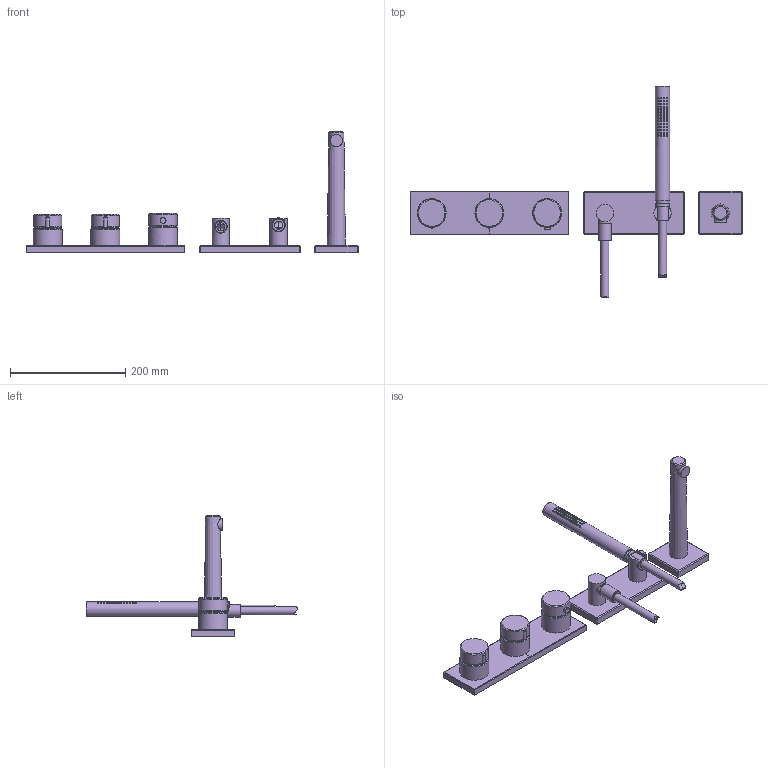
import cadquery as cq

plate_depth = 75.0
plate_gap = 25.0
plate_height = 13.0
plate_bevel = 1.5
control_bevel = 1.0
end_margin = plate_depth / 2
column_pitch = 100.0

control_length = 275.0
control_ridge_height = 12.6
control_rim_height = 11.8
valve_x = [end_margin + i * column_pitch for i in range(3)]
valve_diameter = 50.0
neck_diameter = 46.0
rim_bevel = 1.5
seat_bevel = 1.0
ribbed_seat = 42.0
ribbed_gap = 2.0
ribbed_top = 66.5
ribbed_diameter = 49.0
rib_diameter = 7.0
rib_projection = 1.6
rib_top_margin = 4.0
rib_tip_radius = 2.0
button_seat = 44.5
button_gap = 1.2
button_head_top = 68.2
button_head_diameter = 49.0
button_diameter = 10.0
button_z = 56.0
button_projection = 3.4

shower_length = 175.0
shower_left = control_length + plate_gap
outlet_x = shower_left + end_margin
holder_x = outlet_x + column_pitch
post_diameter = 30.0
post_top = 60.0
hose_diameter = 14.0
hose_break_depth = 2.5

outlet_z = 45.0
outlet_neck_diameter = 21.0
nut_diameter = 22.0
nut_back = -18.4
nut_bevel = 1.0
nut_front = -48.0
outlet_hose_end = -146.47

shower_z = 48.0
wand_diameter = 25.0
collar_diameter = 24.0
wand_end = 219.3
wand_start = 21.5
handle_diameter = 21.0
handle_end = -13.0
collar_front = 10.5
collar_back = 16.2
shower_hose_end = -111.5
slot_width = 19.0
holder_bore = 23.0
nozzle_diameter = 2.6
nozzle_pitch = 5.0
nozzle_columns = 4
nozzle_rows = 14
nozzle_first_y = 134.0
nozzle_depth = 1.0

spout_length = 75.0
spout_left = shower_left + shower_length + plate_gap
spout_x = spout_left + end_margin
spout_top = 210.62
spout_base_diameter = 31.8
spout_top_diameter = 26.0
spout_bevel = 2.0
aerator_diameter = 21.0
aerator_z = 194.4
aerator_face = -17.0


def upright(diameter, z_bottom, z_top, x):
    """Vertical cylinder standing on the axis line."""
    return cq.Workplane("XY", origin=(x, 0, z_bottom)).circle(diameter / 2).extrude(z_top - z_bottom)


def lying(diameter, y_front, y_back, x, z):
    """Cylinder along Y."""
    return cq.Workplane("XZ", origin=(x, y_back, z)).circle(diameter / 2).extrude(y_back - y_front)


def flat_plate(x_left, length):
    """Plate with bevelled corners and a bevelled top edge."""
    plate = cq.Workplane("XY").box(length, plate_depth, plate_height, centered=(False, True, False))
    plate = plate.edges("|Z or >Z").chamfer(plate_bevel)
    return plate.translate((x_left, 0, 0))


def ridged_plate():
    """Control plate: its top falls gently from the middle to both ends."""
    profile = [
        (0, 0),
        (control_length, 0),
        (control_length, control_rim_height),
        (control_length / 2, control_ridge_height),
        (0, control_rim_height),
    ]
    plate = cq.Workplane("XZ").polyline(profile).close().extrude(plate_depth / 2, both=True)
    upper_rim = "(<X or >X or <Y or >Y) and (not |Z) and (not <Z)"
    return plate.edges(upper_rim).chamfer(control_bevel)


def knob(x, diameter, bottom, top):
    """Plain knob head with both rims bevelled."""
    head = upright(diameter, bottom, top, x)
    head = head.faces("<Z").edges().chamfer(seat_bevel)
    return head.faces(">Z").edges().chamfer(rim_bevel)


def ribbed_knob(x):
    """Knob with an upright round-ended rib on its front."""
    bottom = ribbed_seat + ribbed_gap
    rib_axis_y = -ribbed_diameter / 2 - rib_projection + rib_diameter / 2
    rib = upright(rib_diameter, bottom, ribbed_top - rib_top_margin, x).translate((0, rib_axis_y, 0))
    rib = rib.faces(">Z").edges().fillet(rib_tip_radius)
    return knob(x, ribbed_diameter, bottom, ribbed_top).union(rib)


def button_head(x):
    """Valve head with a round button on its front."""
    head = knob(x, button_head_diameter, button_seat + button_gap, button_head_top)
    button_face = -button_head_diameter / 2 - button_projection
    return head.union(lying(button_diameter, button_face, 0, x, button_z))


def control_deck():
    """Control plate with its three valves; only the third carries its own head."""
    deck = ridged_plate()
    seats = [ribbed_seat, ribbed_seat, button_seat]
    gaps = [ribbed_gap, ribbed_gap, button_gap]
    for x, seat, gap in zip(valve_x, seats, gaps):
        valve = upright(valve_diameter, 0, seat, x).faces(">Z").edges().chamfer(seat_bevel)
        deck = deck.union(valve).union(upright(neck_diameter, 0, seat + gap, x))
    return deck.union(button_head(valve_x[2]))


def hose(x, z, y_start, y_end, turn):
    """Hose stub whose broken end is an S-shaped wave across the bore."""
    r = hose_diameter / 2
    y_mid = y_end + hose_break_depth
    wave = [
        (y_mid + hose_break_depth, -turn * r / 2),
        (y_mid, 0),
        (y_end, turn * r / 2),
        (y_mid, turn * r),
    ]
    outline = (
        cq.Workplane("YZ", origin=(x, 0, z))
        .moveTo(y_start, -turn * r)
        .lineTo(y_mid, -turn * r)
        .spline(wave, includeCurrent=True)
        .lineTo(y_start, turn * r)
        .close()
        .extrude(r, both=True)
    )
    return outline.intersect(lying(hose_diameter, y_end, y_start, x, z))


def hand_shower():
    """Wand with nozzles, handle, collar and hose stub."""
    wand = lying(wand_diameter, wand_start, wand_end, holder_x, shower_z)
    handle = lying(handle_diameter, handle_end, wand_start, holder_x, shower_z)
    collar = lying(collar_diameter, collar_front, collar_back, holder_x, shower_z)
    shower = wand.union(handle).union(collar)
    shower = shower.union(hose(holder_x, shower_z, 0, shower_hose_end, -1))
    for column in range(nozzle_columns):
        offset = (column - (nozzle_columns - 1) / 2) * nozzle_pitch
        surface = ((wand_diameter / 2) ** 2 - offset**2) ** 0.5
        spots = [(offset, row * nozzle_pitch) for row in range(nozzle_rows)]
        drill = (
            cq.Workplane("XY", origin=(holder_x, nozzle_first_y, shower_z + surface - nozzle_depth))
            .pushPoints(spots)
            .circle(nozzle_diameter / 2)
            .extrude(wand_diameter)
        )
        shower = shower.cut(drill)
    return shower


def shower_deck(shower):
    """Plate with the hose outlet post and the slotted post that holds the hand shower."""
    deck = flat_plate(shower_left, shower_length)
    deck = deck.union(upright(post_diameter, 0, post_top, outlet_x))
    deck = deck.union(lying(outlet_neck_diameter, nut_back, 0, outlet_x, outlet_z))
    nut = lying(nut_diameter, nut_front, nut_back, outlet_x, outlet_z)
    nut = nut.faces("<Y").edges().chamfer(nut_bevel)
    deck = deck.union(nut)
    deck = deck.union(hose(outlet_x, outlet_z, nut_front, outlet_hose_end, 1))
    slot = cq.Workplane("XY", origin=(holder_x, 0, shower_z)).rect(slot_width, plate_depth)
    slot = slot.extrude(plate_depth)
    bore = lying(holder_bore, -plate_depth / 2, plate_depth / 2, holder_x, shower_z)
    holder = upright(post_diameter, 0, post_top, holder_x)
    holder = holder.cut(slot).cut(bore).cut(shower)
    return deck.union(holder)


def spout_deck():
    """Plate with the tapered spout column and its aerator."""
    base_radius = spout_base_diameter / 2
    top_radius = spout_top_diameter / 2
    half_section = [(0, 0), (base_radius, 0), (top_radius, spout_top), (0, spout_top)]
    column = cq.Workplane("XZ").polyline(half_section).close().revolve()
    column = column.faces(">Z").edges().chamfer(spout_bevel).translate((spout_x, 0, 0))
    aerator = lying(aerator_diameter, aerator_face, 0, spout_x, aerator_z)
    return flat_plate(spout_left, spout_length).union(column).union(aerator)


shower = hand_shower()
bodies = [control_deck(), shower, shower_deck(shower), spout_deck()]
bodies += [ribbed_knob(x) for x in valve_x[:2]]
result = cq.Compound.makeCompound([b.val() for b in bodies])